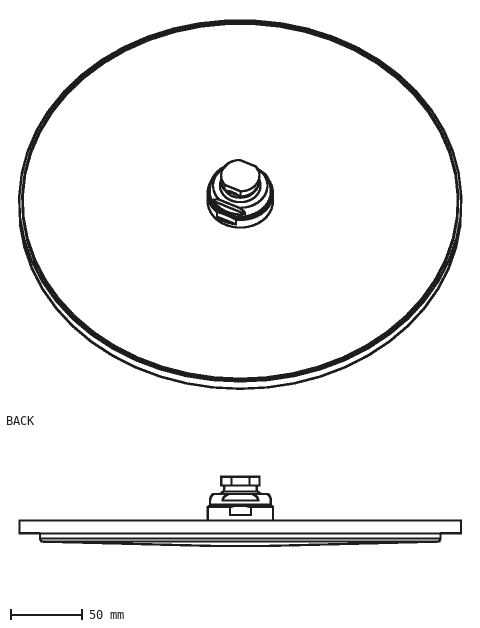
import cadquery as cq

rim_bottom = 9.0
rim_top = 18.0
collar_top = 28.2
nut_bottom = 29.0
nut_shoulder = 32.0
nut_top = 36.5
flare_edge = 38.5
neck_bottom = 40.5
head_bottom = 42.5
head_top = 48.7

plate_diameter = 310.0
groove_outer_diameter = 306.0
groove_inner_diameter = 305.0
groove_depth = 0.5
base_diameter = 281.2
base_wall_bottom = 5.3
cone_diameter = 279.0
cone_height = 3.0
cone_flat_diameter = 36.0

collar_diameter = 46.0
collar_chamfer = 1.0
collar_flat_width = 43.5
collar_flat_bottom = 21.7

nut_groove_diameter = 36.0
nut_diameter = 42.8
nut_top_diameter = 38.0
nut_flat_width = 34.7

neck_diameter = 23.0
flare_edge_diameter = 23.5
flare_foot_diameter = 28.5
head_diameter = 27.0
head_flat_width = 24.0


def disc(diameter, bottom, top):
    """Solid cylinder on the Z axis between two heights."""
    return cq.Workplane("XY").workplane(offset=bottom).circle(diameter / 2).extrude(top - bottom)


def cut_flats(body, width, bottom, top):
    """Cut two flats facing -Y and +Y, the given width apart, between two heights."""
    for side in (-1, 1):
        cutter = (
            cq.Workplane("XY")
            .box(plate_diameter, plate_diameter, top - bottom, centered=(True, True, False))
            .translate((0, side * (width + plate_diameter) / 2, bottom))
        )
        body = body.cut(cutter)
    return body


def make_plate():
    """Rim disc with a ring groove on top and a shallow cone underneath."""
    profile = (
        cq.Workplane("XZ")
        .lineTo(cone_flat_diameter / 2, 0)
        .lineTo(cone_diameter / 2, cone_height)
        .lineTo(base_diameter / 2, base_wall_bottom)
        .lineTo(base_diameter / 2, rim_bottom)
        .lineTo(plate_diameter / 2, rim_bottom)
        .lineTo(plate_diameter / 2, rim_top)
        .lineTo(0, rim_top)
        .close()
    )
    plate = profile.revolve(360, (0, 0, 0), (0, 1, 0))
    groove_floor = rim_top - groove_depth
    groove = disc(groove_outer_diameter, groove_floor, rim_top).cut(
        disc(groove_inner_diameter, groove_floor, rim_top)
    )
    return plate.cut(groove)


def make_collar():
    """Round collar with a chamfered upper edge and two wrench flats."""
    collar = disc(collar_diameter, rim_top, collar_top)
    collar = collar.faces(">Z").edges().chamfer(collar_chamfer)
    return cut_flats(collar, collar_flat_width, collar_flat_bottom, collar_top)


def make_nut():
    """Nut on a narrower groove, rounded inward above its shoulder, with two wrench flats."""
    rounding_depth = (nut_diameter - nut_top_diameter) / 2
    rounding_height = nut_top - nut_shoulder
    rounding_radius = (rounding_height**2 + rounding_depth**2) / (2 * rounding_depth)
    nut = (
        cq.Workplane("XZ")
        .moveTo(0, nut_bottom)
        .lineTo(nut_diameter / 2, nut_bottom)
        .lineTo(nut_diameter / 2, nut_shoulder)
        .radiusArc((nut_top_diameter / 2, nut_top), -rounding_radius)
        .lineTo(0, nut_top)
        .close()
        .revolve(360, (0, 0, 0), (0, 1, 0))
    )
    nut = cut_flats(nut, nut_flat_width, nut_shoulder, nut_top)
    return nut.union(disc(nut_groove_diameter, collar_top, nut_bottom))


def make_stud():
    """Neck flaring out in two cones onto the nut, topped by a head with two flats."""
    neck = (
        cq.Workplane("XZ")
        .moveTo(0, nut_top)
        .lineTo(flare_foot_diameter / 2, nut_top)
        .lineTo(flare_edge_diameter / 2, flare_edge)
        .lineTo(neck_diameter / 2, neck_bottom)
        .lineTo(neck_diameter / 2, head_bottom)
        .lineTo(0, head_bottom)
        .close()
        .revolve(360, (0, 0, 0), (0, 1, 0))
    )
    head = cut_flats(disc(head_diameter, head_bottom, head_top), head_flat_width, head_bottom, head_top)
    return neck.union(head)


result = make_plate().union(make_collar()).union(make_nut()).union(make_stud())